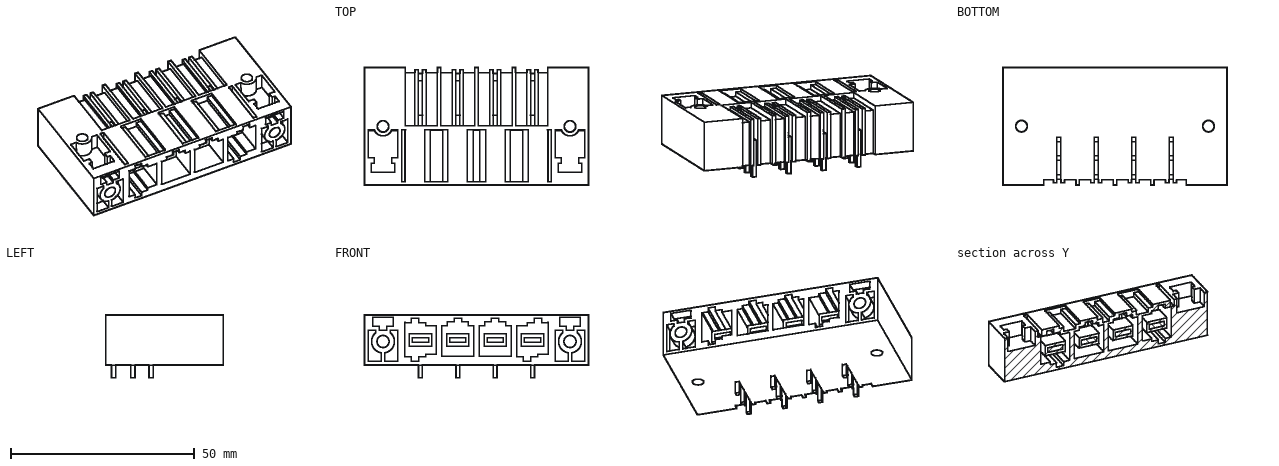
import cadquery as cq
import math

LENGTH = 60.95
DEPTH = 32.0
HEIGHT = 13.65
TOTAL_HEIGHT = 17.1
WALL = 1.0
CAVITY_BACK = 15.05
BACK_LEAN = math.tan(math.radians(3))

PITCH = LENGTH / 6
POLES = [(i - 1.5) * PITCH for i in range(4)]
GAPS = [i * PITCH for i in (-1, 0, 1)]

SOCKET_SHOULDER = 10.7
KEY_TOP = 12.75
KEY_WIDTH = 2.0
INNER_HALF = 4.4
INNER_FLOOR = 2.4
INNER_STEP_WIDTH = 5.8
INNER_STEP_TOP = 11.7
OUTER_HALF = 4.25
OUTER_STEP_X = 1.45
OUTER_STEP_TOP = 11.5
OUTER_KEY_X = 1.45
OUTER_FLOOR = 3.0
OUTER_STEP_FLOOR = 2.2
OUTER_KEY_FLOOR = 1.0

TOWER_FRONT = 5.35
TOWER_WIDTH = 6.05
TOWER_HEIGHT = 3.35
BLADE_Z = 6.8

BLADE_WIDTH = 4.45
BLADE_THICK = 1.2
PIN_WIDTH = 1.1
PIN_LENGTH = TOTAL_HEIGHT - HEIGHT
PIN_DEPTH = 1.2
PIN_FRONTS = [19.0, 24.0, 29.2]
CONTACT_BACK = PIN_FRONTS[-1] + PIN_DEPTH
REAR_STEP_Y = 28.4
REAR_STEP = 0.6

RECESS_HALF = 19.3
RECESS_FRONT = 16.1
RECESS_DEPTH = 1.5
BRIDGE_DEPTH = 1.15
FIN_DEPTH = 0.7
FIN_WIDTH = 1.0
FIN_BACK = DEPTH - 0.6
SHELF_BACK = DEPTH - 1.4

FLANGE_X = 25.4
FLANGE_WIDTH = 8.1
FLANGE_DEPTH = 3.0
FLANGE_FLOOR = 1.0
FLANGE_TOP = 9.5
NUT_WIDTH = 5.65
NUT_BOTTOM = 10.5
NUT_TOP = 12.9
NUT_NECK_WIDTH = 2.0
RING_Z = 6.4
RING_DIAMETER = 6.2
RING_BORE = 1.65
BORE_DEPTH = 7.5
RING_BLOCK_WIDTH = 3.95
WEB_WIDTH = 1.0

CAVITY_FLOOR = 9.3
CAVITY_FRONT = 7.5
CAVITY_NECK_WIDTH = 4.7
CAVITY_NECK_FRONT = 5.9
CAVITY_NUT_HALF = 3.25
CAVITY_NUT_FRONT = 3.55
SCREW_Y = 16.0
SCREW_RADIUS = 1.5
BOSS_RADIUS = 2.55

WINDOW_FRONT = WALL
WINDOW_X = 10.9
LEDGE_DEPTH = 0.8
WINDOW_DEPTH = 2.0
OUTER_WINDOW = (3.1, 1.7)
MIDDLE_WINDOW = (2.5, 0.9)
GROOVE_WIDTH = 1.05
GROOVE_X = RECESS_HALF + GROOVE_WIDTH / 2


def box(x0, x1, y0, y1, z0, z1):
    return cq.Workplane("XY").box(x1 - x0, y1 - y0, z1 - z0, centered=False).translate((x0, y0, z0))


def mid_box(x, half, y0, y1, z0, z1):
    return box(x - half, x + half, y0, y1, z0, z1)


def drafted_recess(x, half, y0, z0):
    """Recess in the top face whose rear wall leans forward towards its floor."""
    floor_back = CAVITY_BACK - (HEIGHT - z0) * BACK_LEAN
    side = [(y0, z0), (floor_back, z0), (CAVITY_BACK, HEIGHT), (y0, HEIGHT)]
    return cq.Workplane("YZ", origin=(x, 0, 0)).polyline(side).close().extrude(half, both=True)


def y_cylinder(x, z, radius, y1):
    return cq.Workplane("XZ").center(x, z).circle(radius).extrude(-y1)


def z_cylinder(x, y, radius, z0, z1):
    return cq.Workplane("XY", origin=(0, 0, z0)).center(x, y).circle(radius).extrude(z1 - z0)


def tower(x):
    half = TOWER_HEIGHT / 2
    return mid_box(x, TOWER_WIDTH / 2, TOWER_FRONT, CAVITY_BACK, BLADE_Z - half, BLADE_Z + half)


def inner_socket(x):
    body = mid_box(x, INNER_HALF, 0, CAVITY_BACK, INNER_FLOOR, SOCKET_SHOULDER)
    step = mid_box(x, INNER_STEP_WIDTH / 2, 0, CAVITY_BACK, INNER_FLOOR, INNER_STEP_TOP)
    key = mid_box(x, KEY_WIDTH / 2, 0, CAVITY_BACK, INNER_FLOOR, KEY_TOP)
    return body.union(step).union(key).cut(tower(x))


def outer_socket(x, key_side):
    """Socket with keys above and below; key_side is -1 or 1, the side of the upper key."""
    body = mid_box(x, OUTER_HALF, 0, CAVITY_BACK, OUTER_FLOOR, SOCKET_SHOULDER)
    step_width = OUTER_HALF + OUTER_STEP_X
    upper_step_x = x + key_side * (OUTER_HALF - step_width / 2)
    lower_step_x = x - OUTER_HALF + step_width / 2
    upper_step = mid_box(upper_step_x, step_width / 2, 0, CAVITY_BACK, BLADE_Z, OUTER_STEP_TOP)
    lower_step = mid_box(lower_step_x, step_width / 2, 0, CAVITY_BACK, OUTER_STEP_FLOOR, BLADE_Z)
    upper_key = mid_box(x + key_side * OUTER_KEY_X, KEY_WIDTH / 2, 0, CAVITY_BACK, BLADE_Z, KEY_TOP)
    lower_key = mid_box(x - OUTER_KEY_X, KEY_WIDTH / 2, 0, CAVITY_BACK, OUTER_KEY_FLOOR, BLADE_Z)
    return body.union(upper_step).union(lower_step).union(upper_key).union(lower_key).cut(tower(x))


def flange_pocket(x):
    """Front pocket around a bored ring, with a nut slot above it."""
    pocket = mid_box(x, FLANGE_WIDTH / 2, 0, FLANGE_DEPTH, FLANGE_FLOOR, FLANGE_TOP)
    pocket = pocket.cut(y_cylinder(x, RING_Z, RING_DIAMETER / 2, FLANGE_DEPTH))
    pocket = pocket.cut(mid_box(x, RING_BLOCK_WIDTH / 2, 0, FLANGE_DEPTH, RING_Z, FLANGE_TOP))
    pocket = pocket.cut(mid_box(x, WEB_WIDTH / 2, 0, FLANGE_DEPTH, FLANGE_FLOOR, RING_Z))
    nut = mid_box(x, NUT_WIDTH / 2, 0, FLANGE_DEPTH, NUT_BOTTOM, NUT_TOP)
    neck = mid_box(x, NUT_NECK_WIDTH / 2, 0, FLANGE_DEPTH, FLANGE_TOP, NUT_BOTTOM)
    bore = y_cylinder(x, RING_Z, RING_BORE, BORE_DEPTH)
    return pocket.union(nut).union(neck).union(bore)


def flange_cavity(x):
    """Stepped cavity in the top face, with a bored screw boss at its rear wall."""
    neck_half = CAVITY_NECK_WIDTH / 2
    cavity = drafted_recess(x, FLANGE_WIDTH / 2, CAVITY_FRONT, CAVITY_FLOOR)
    neck = mid_box(x, neck_half, CAVITY_NECK_FRONT, CAVITY_FRONT, CAVITY_FLOOR, HEIGHT)
    nut = mid_box(x, CAVITY_NUT_HALF, CAVITY_NUT_FRONT, CAVITY_NECK_FRONT, CAVITY_FLOOR, HEIGHT)
    boss = z_cylinder(x, SCREW_Y, BOSS_RADIUS, CAVITY_FLOOR, HEIGHT)
    screw_hole = z_cylinder(x, SCREW_Y, SCREW_RADIUS, 0, HEIGHT)
    return cavity.union(neck).union(nut).cut(boss).union(screw_hole)


def groove(x):
    return mid_box(x, GROOVE_WIDTH / 2, WINDOW_FRONT, CAVITY_BACK, HEIGHT - WINDOW_DEPTH, HEIGHT)


def window(x, ledge_half, deep_half):
    ledge = drafted_recess(x, ledge_half, WINDOW_FRONT, HEIGHT - LEDGE_DEPTH)
    return ledge.union(drafted_recess(x, deep_half, WINDOW_FRONT, HEIGHT - WINDOW_DEPTH))


def finned_recess():
    """Everything removed between the end blocks: dividers, paired fins and bridges stay."""
    recess = mid_box(0, RECESS_HALF, RECESS_FRONT, DEPTH, HEIGHT - RECESS_DEPTH, HEIGHT)
    recess = recess.union(mid_box(0, RECESS_HALF, SHELF_BACK, DEPTH, 0, HEIGHT))
    for x in GAPS:
        recess = recess.cut(mid_box(x, FIN_WIDTH / 2, RECESS_FRONT, DEPTH, 0, HEIGHT))
    pair_half = PIN_WIDTH / 2 + FIN_WIDTH
    for x in POLES:
        fins = mid_box(x, pair_half, RECESS_FRONT, FIN_BACK, 0, HEIGHT - FIN_DEPTH)
        above_bridge = mid_box(x, PIN_WIDTH / 2, RECESS_FRONT, DEPTH, HEIGHT - BRIDGE_DEPTH, HEIGHT)
        slot = mid_box(x, PIN_WIDTH / 2, PIN_FRONTS[0], DEPTH, 0, HEIGHT)
        recess = recess.cut(fins).union(above_bridge).union(slot)
    return recess


def make_contact(x):
    bottom = BLADE_Z - BLADE_THICK / 2
    top = BLADE_Z + BLADE_THICK / 2
    blade = mid_box(x, BLADE_WIDTH / 2, TOWER_FRONT, PIN_FRONTS[0], bottom, top)
    bar = mid_box(x, PIN_WIDTH / 2, PIN_FRONTS[0], CONTACT_BACK, bottom, top)
    contact = blade.union(bar)
    for y in PIN_FRONTS:
        contact = contact.union(mid_box(x, PIN_WIDTH / 2, y, y + PIN_DEPTH, -PIN_LENGTH, bottom))
    return contact.cut(mid_box(x, PIN_WIDTH / 2, REAR_STEP_Y, CONTACT_BACK, top - REAR_STEP, top))


def make_housing():
    housing = mid_box(0, LENGTH / 2, 0, DEPTH, 0, HEIGHT)
    housing = housing.cut(outer_socket(POLES[0], -1)).cut(outer_socket(POLES[3], 1))
    housing = housing.cut(inner_socket(POLES[1])).cut(inner_socket(POLES[2]))
    housing = housing.cut(finned_recess()).cut(window(0, *MIDDLE_WINDOW))
    for side in (-1, 1):
        flange_x = side * FLANGE_X
        housing = housing.cut(flange_pocket(flange_x)).cut(flange_cavity(flange_x))
        housing = housing.cut(window(side * WINDOW_X, *OUTER_WINDOW)).cut(groove(side * GROOVE_X))
    for x in POLES:
        housing = housing.cut(make_contact(x))
    return housing


housing = make_housing()
contacts = [make_contact(x).val() for x in POLES]
result = cq.Compound.makeCompound([housing.val(), *contacts])